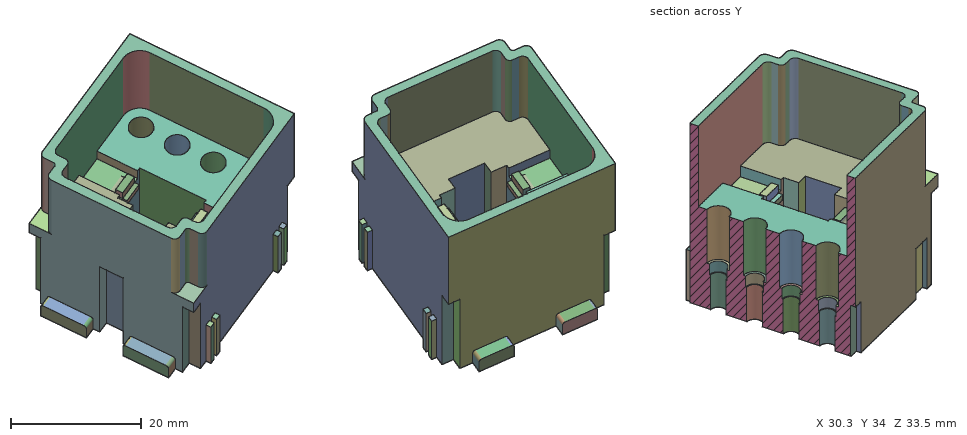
import cadquery as cq

BODY_X = 29.4
BODY_Y = 30.0
HEIGHT = 33.5
TOTAL_X = 30.3
TOTAL_Y = 34.0

WALL = 1.53
CAVITY_FLOOR_Z = 18.5
CAVITY_BACK_RADIUS = 3.0
CAVITY_STEP_RADIUS = 0.8
CAVITY_FRONT_RADIUS = 1.0

STEP = 3.03
STEP_FLOOR_Z = 19.4
STEP_OUTER_RADIUS = 1.0
STEP_INNER_RADIUS = 0.5

GROOVE_DEPTH = 2.0
GROOVE_HEIGHT = 17.0
FRONT_GROOVE_WIDTH = 4.18

FOOT_DEPTH = (TOTAL_Y - BODY_Y) / 2
FOOT_HEIGHT = 2.9
FOOT_RADIUS = 0.5
FOOT_SPACING = 14.7
FRONT_FOOT_WIDTH = 8.15
BACK_FOOT_WIDTH = 6.2

JOINT_OFFSET = 10.0
JOINT_HEIGHT = 9.45
SLOT_WIDTH = 3.25
SLOT_DEPTH = 0.8
RIB_DEPTH = TOTAL_X - BODY_X
RIB_WIDTH = 1.0
RIB_SPACING = 1.7

HOLE_COUNT = 4
HOLE_SPACING = 6.45
HOLE_Y = 10.0
SOCKET_DIAMETER = 3.9
SOCKET_DEPTH = 10.0
SEAT_DIAMETER = 3.05
SEAT_DEPTH = 2.0
BORE_DIAMETER = 2.72

WINDOW_X = 11.83
WINDOW_Y = 6.6
KEYWAY_X = 6.35
KEYWAY_Y = 2.05
CHANNEL_WIDTH = 5.35
CHANNEL_DEPTH = 2.0

LATCH_WIDTH = 3.57
LATCH_HEIGHT = 1.5
LATCH_THICKNESS = 1.25
LATCH_FOOT_RADIUS = 1.1
LEDGE_REACH = 0.78
LEDGE_THICKNESS = 1.0

LEFT, RIGHT = -BODY_X / 2, BODY_X / 2
FRONT, BACK = -BODY_Y / 2, BODY_Y / 2
CHANNEL_FLOOR_Z = CAVITY_FLOOR_Z - CHANNEL_DEPTH


def block(x_min, x_max, y_min, y_max, z_min, z_max):
    """Rectangular block between the given limits."""
    size = (x_max - x_min, y_max - y_min, z_max - z_min)
    return cq.Workplane("XY").box(*size, centered=False).translate((x_min, y_min, z_min))


def round_corners(prism, corners, radius):
    """Round the upright edges of a symmetric prism nearest each (x, y) corner and its mirror."""
    for x, y in corners:
        for side in (-1, 1):
            nearest = cq.selectors.NearestToPointSelector((side * x, y, prism.val().Center().z))
            prism = prism.edges("|Z").edges(nearest).fillet(radius)
    return prism


def stepped_prism(inset, z_min, back_radius, step_radius, front_radius):
    """Socket plan, moved inward by inset, with stepped front corners; back_radius 0 is sharp."""
    x, front, back = RIGHT - inset, FRONT + inset, BACK - inset
    prism = block(-x, x, front, back, z_min, HEIGHT)
    for side in (-1, 1):
        x_limits = sorted((side * (x - STEP), side * x))
        prism = prism.cut(block(*x_limits, front, front + STEP, z_min, HEIGHT))

    prism = round_corners(prism, [(x - STEP, front + STEP)], step_radius)
    prism = round_corners(prism, [(x, front + STEP), (x - STEP, front)], front_radius)
    if back_radius:
        prism = round_corners(prism, [(x, back)], back_radius)
    return prism


def socket_shell():
    """Square lower block with the stepped socket on top and the cavity cut into it."""
    lower = block(LEFT, RIGHT, FRONT, BACK, 0, STEP_FLOOR_Z)
    upper = stepped_prism(0, STEP_FLOOR_Z, 0, STEP_INNER_RADIUS, STEP_OUTER_RADIUS)
    cavity = stepped_prism(
        WALL, CAVITY_FLOOR_Z, CAVITY_BACK_RADIUS, CAVITY_STEP_RADIUS, CAVITY_FRONT_RADIUS
    )
    return lower.union(upper).cut(cavity)


def lower_grooves():
    """Grooves at the four lower corners and in the middle of the front."""
    half = FRONT_GROOVE_WIDTH / 2
    grooves = block(-half, half, FRONT, FRONT + GROOVE_DEPTH, 0, GROOVE_HEIGHT)
    for x in (LEFT, RIGHT - GROOVE_DEPTH):
        for y in (FRONT, BACK - GROOVE_DEPTH):
            grooves = grooves.union(block(x, x + GROOVE_DEPTH, y, y + GROOVE_DEPTH, 0, GROOVE_HEIGHT))
    return grooves


def foot(x_centre, y_min, width):
    """Foot with the two top edges that run front to back rounded."""
    half = width / 2
    body = block(x_centre - half, x_centre + half, y_min, y_min + FOOT_DEPTH, 0, FOOT_HEIGHT)
    return body.edges(">Z and |Y").fillet(FOOT_RADIUS)


def feet():
    """Wide feet on the front and narrow feet on the back."""
    all_feet = cq.Workplane("XY")
    for x in (-FOOT_SPACING / 2, FOOT_SPACING / 2):
        all_feet = all_feet.add(foot(x, FRONT - FOOT_DEPTH, FRONT_FOOT_WIDTH))
        all_feet = all_feet.add(foot(x, BACK, BACK_FOOT_WIDTH))
    return all_feet.combine()


def joint_slots():
    """Slots in the left side that accept the rib pairs of a neighbour."""
    half = SLOT_WIDTH / 2
    slots = cq.Workplane("XY")
    for y in (-JOINT_OFFSET, JOINT_OFFSET):
        slots = slots.add(block(LEFT, LEFT + SLOT_DEPTH, y - half, y + half, 0, JOINT_HEIGHT))
    return slots.combine()


def joint_ribs():
    """Pairs of upright ribs on the right side."""
    half = RIB_WIDTH / 2
    ribs = cq.Workplane("XY")
    for pair_y in (-JOINT_OFFSET, JOINT_OFFSET):
        for y in (pair_y - RIB_SPACING / 2, pair_y + RIB_SPACING / 2):
            ribs = ribs.add(block(RIGHT, RIGHT + RIB_DEPTH, y - half, y + half, 0, JOINT_HEIGHT))
    return ribs.combine()


def contact_holes():
    """Stepped holes: a wide socket, a narrower seat and a bore through the bottom."""
    row_start = -HOLE_SPACING * (HOLE_COUNT - 1) / 2
    centres = [(row_start + i * HOLE_SPACING, HOLE_Y) for i in range(HOLE_COUNT)]

    def cylinders(diameter, depth):
        plane = cq.Workplane("XY", origin=(0, 0, CAVITY_FLOOR_Z))
        return plane.pushPoints(centres).circle(diameter / 2).extrude(-depth)

    holes = cylinders(BORE_DIAMETER, CAVITY_FLOOR_Z)
    holes = holes.union(cylinders(SEAT_DIAMETER, SOCKET_DEPTH + SEAT_DEPTH))
    return holes.union(cylinders(SOCKET_DIAMETER, SOCKET_DEPTH))


def channel():
    """Shallow channel across the whole cavity floor."""
    half = CHANNEL_WIDTH / 2
    return block(LEFT + WALL, RIGHT - WALL, -half, half, CHANNEL_FLOOR_Z, CAVITY_FLOOR_Z)


def window():
    """Through window with a narrower keyway on its front side."""
    half_x, half_y, half_key = WINDOW_X / 2, WINDOW_Y / 2, KEYWAY_X / 2
    main = block(-half_x, half_x, -half_y, half_y, 0, CAVITY_FLOOR_Z)
    keyway = block(-half_key, half_key, -half_y - KEYWAY_Y, -half_y, 0, CAVITY_FLOOR_Z)
    return main.union(keyway)


def latches():
    """Mirrored posts with a rounded outer foot and a ledge reaching into the window."""
    inner = WINDOW_X / 2
    outer = inner + LATCH_THICKNESS
    floor = CHANNEL_FLOOR_Z
    right_latch = (
        cq.Workplane("XZ")
        .moveTo(inner - LEDGE_REACH, floor - LEDGE_THICKNESS)
        .lineTo(inner - LEDGE_REACH, floor)
        .lineTo(inner, floor)
        .lineTo(inner, floor + LATCH_HEIGHT)
        .lineTo(outer, floor + LATCH_HEIGHT)
        .lineTo(outer, floor + LATCH_FOOT_RADIUS)
        .radiusArc((outer + LATCH_FOOT_RADIUS, floor), -LATCH_FOOT_RADIUS)
        .lineTo(outer + LATCH_FOOT_RADIUS, floor - LEDGE_THICKNESS)
        .close()
        .extrude(LATCH_WIDTH / 2, both=True)
    )
    return right_latch.union(right_latch.mirror("YZ"))


result = (
    socket_shell()
    .cut(lower_grooves())
    .cut(joint_slots())
    .cut(contact_holes())
    .cut(channel())
    .cut(window())
    .union(latches())
    .union(feet())
    .union(joint_ribs())
)